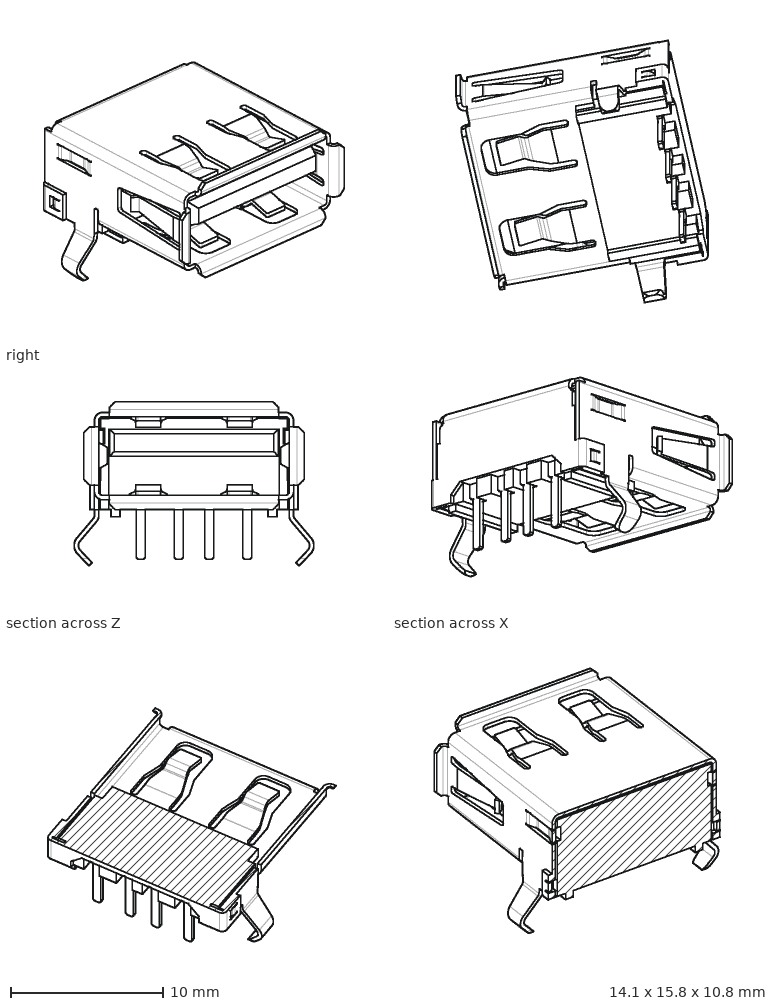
import cadquery as cq
import math


SHEET = 0.3
SHELL_LENGTH = 13.5
SHELL_WIDTH = 13.1
SHELL_TOP = 6.4
SHELL_FLOOR = 0.65
SHELL_MID_Z = (SHELL_TOP + SHELL_FLOOR) / 2
SHELL_BEND = 0.55
FLOOR_START = 5.2
SKIRT_END = 4.82
RELIEF_CORNER = 0.12
RELIEF_TOP = 1.94
SIDE_MID = SHELL_WIDTH / 2 - SHEET / 2
TOP_MID = SHELL_TOP - SHEET / 2
FLOOR_MID = SHELL_FLOOR + SHEET / 2

BACK_BEND = 0.6
BACK_BEND_HALF = 5.62
BACK_STEP_HALF = 5.92
BACK_HALF = 6.15
BACK_CHAMFER_TOP = 5.68
BACK_CHAMFER_BOTTOM = 5.36
BACK_STEP_Z = 4.33
CORNER_NOTCH_Z = 5.95
FLAP_LENGTH = 2.1
FLAP_HEIGHT = 1.93
FLAP_MID = SIDE_MID + SHEET
FLAP_BEND = 0.22
PIN_OPENING_FOOT = 4.92
PIN_OPENING_HEAD = 4.1
PIN_OPENING_SHOULDER = 0.55
PIN_OPENING_TOP = 1.3

MOUTH_X = 14.1
LIP_BEND = 0.35
LIP_ROOT = 13.4
LIP_CHAMFER = 0.38
TOP_LIP_HALF = 5.57
TOP_LIP_Z = 7.1
SIDE_LIP_Y = 7.25
SIDE_LIP_Z = (1.61, 5.44)

ROOF_SPRING_Y = 3.0
ROOF_SLOT_START = 7.14
ROOF_SLOT_END = 13.13
ROOF_SLOT_WIDTH = 0.48
ROOF_SLOT_CORNER = 0.65
ROOF_SLOT_TAPER_SHIFT = 0.16
ROOF_SPRING_BEND = 8.33
ROOF_SPRING_STEP = (10.05, 10.5)
ROOF_SPRING_END = 12.12
ROOF_SPRING_TAPER = (8.85, 10.15)
ROOF_SPRING_HALF = (1.25, 0.83)
ROOF_SPRING_DEPTH = (0.25, 0.72)
ROOF_SPRING_RISE = 0.55
ROOF_SPRING_BENDS = (0.25, 0.3, 0.3)
ROOF_SPRING_CORNER = 0.12
SLOT_END_RADIUS = 0.2

SIDE_SPRING_Z = 3.55
SIDE_SLOT = (7.08, 13.15)
SIDE_SLOT_HALF = (0.9, 1.43)
SIDE_SLOT_CORNER = 0.25
SIDE_SPRING_HALF = (0.5, 0.94)
SIDE_SPRING_BEND = 12.45
SIDE_SPRING_LOW = 8.5
SIDE_SPRING_END = 8.1
SIDE_SPRING_DEPTH = 0.55
SIDE_SPRING_CURL = math.radians(50)
SIDE_SPRING_CURL_BEND = 0.22
SIDE_SPRING_ROOT_BEND = 0.7

DENT_X = (1.23, 4.46)
DENT_Z = (4.25, 5.25)
DENT_SLIT = 0.05
DENT_FLAT = 0.19
DENT_RAMP = 0.74
DENT_DEPTH = 0.3
DENT_BEND = 0.5

LATCH_X = (0.83, 1.7)
LATCH_Z = (0.57, 1.3)
LATCH_TIP = 0.95
LATCH_BEND_X = 1.3
LATCH_DEPTH = 0.25
LATCH_BEND = 0.17
LATCH_GAP = 0.05

LOCK_X = 3.83
LOCK_HALF = (0.97, 0.6)
LOCK_TIP_RADIUS = 0.55
LOCK_ELBOW = (7.95, -2.38)
LOCK_KNEE_Z = -0.55
LOCK_TIP = (6.8, -3.595)
LOCK_BENDS = (0.45, 0.62)
LOCK_BOTTOM = -3.7

BODY_X = (SHEET, 6.4)
BODY_HALF = 5.6
CHEEK_X = (0.45, 5.13)
CHEEK_HALF = 6.15
CHEEK_TOP = 6.0
CHEEK_CHAMFER = 0.3
CHEEK_GROOVE_Z = (4.33, 5.35)
CHEEK_GROOVE_HALF = 5.88
FOOT_X = 0.4
FOOT_Y = (4.85, 5.46)
FOOT_DEPTH = 0.48
TONGUE_HALF = 5.55
TONGUE_BOTTOM = 3.52
TONGUE_TOP = 5.3
TONGUE_TIP = (12.75, SHELL_LENGTH)
TONGUE_BEVEL = 0.3
PIN_Y = (-3.5, -1.0, 1.0, 3.5)
PIN_X = (0.95, 1.25)
PIN_WIDTH = 0.6
PIN_HEAD = 1.2
PIN_HEAD_Z = 0.25
PIN_HEAD_CHAMFER = 0.13
PIN_BOTTOM = -3.27
PIN_TIP_CHAMFER = 0.12

MARGIN = 1.0


def block(x, y, z):
    """Box spanning the given (low, high) ranges."""
    size = (x[1] - x[0], y[1] - y[0], z[1] - z[0])
    return cq.Workplane("XY").box(*size, centered=False).translate((x[0], y[0], z[0]))


def both_sides(solid):
    """The solid together with its mirror image across Y = 0."""
    return solid.union(solid.mirror("XZ"))


def roof_and_floor(solid):
    """The solid together with its mirror image across the middle height of the shell."""
    return solid.union(solid.mirror("XY", (0, 0, SHELL_MID_Z)))


def bent_strip(plane, path, bends, width):
    """Sheet following a polyline, corners rounded to the mid-sheet radii, centred across its width."""
    half = SHEET / 2
    directions = []
    for a, b in zip(path, path[1:]):
        angle = math.atan2(b[1] - a[1], b[0] - a[0])
        directions.append(angle)

    def beside(point, angle, side):
        return (point[0] - side * half * math.sin(angle), point[1] + side * half * math.cos(angle))

    def edge(side):
        """One face of the sheet as (start, mid, end) arcs between its two end points."""
        arcs = []
        for corner, radius, before, after in zip(path[1:-1], bends, directions, directions[1:]):
            turn = math.remainder(after - before, 2 * math.pi)
            setback = radius * math.tan(abs(turn) / 2)
            start = (corner[0] - setback * math.cos(before), corner[1] - setback * math.sin(before))
            end = (corner[0] + setback * math.cos(after), corner[1] + setback * math.sin(after))
            hand = math.copysign(1, turn)
            swing = hand * radius
            centre = (start[0] - swing * math.sin(before), start[1] + swing * math.cos(before))
            middle = before + turn / 2
            reach = radius - hand * side * half
            mid = (centre[0] + hand * reach * math.sin(middle), centre[1] - hand * reach * math.cos(middle))
            arcs.append((beside(start, before, side), mid, beside(end, after, side)))
        return beside(path[0], directions[0], side), arcs, beside(path[-1], directions[-1], side)

    left_start, left_arcs, left_end = edge(1)
    right_start, right_arcs, right_end = edge(-1)
    outline = cq.Workplane(plane).moveTo(*left_start)
    for start, mid, end in left_arcs:
        outline = outline.lineTo(*start).threePointArc(mid, end)
    outline = outline.lineTo(*left_end).lineTo(*right_end)
    for start, mid, end in reversed(right_arcs):
        outline = outline.lineTo(*end).threePointArc(mid, start)
    return outline.lineTo(*right_start).close().extrude(width / 2, both=True)


def make_shell_walls():
    height = SHELL_TOP - SHELL_FLOOR

    def bar(inset):
        section = cq.Workplane("YZ").center(0, SHELL_MID_Z).rect(SHELL_WIDTH - 2 * inset, height - 2 * inset)
        return section.extrude(SHELL_LENGTH).edges("|X").fillet(SHELL_BEND - inset)

    walls = bar(0).cut(bar(SHEET))
    everywhere = (-SHELL_WIDTH, SHELL_WIDTH)
    walls = walls.cut(block((0, FLOOR_START), everywhere, (0, RELIEF_TOP)))
    inner = SHELL_WIDTH / 2 - SHEET
    skirt = block((0, FLOOR_START), (inner, SHELL_WIDTH / 2), (0, RELIEF_TOP))
    slit = block((SKIRT_END, FLOOR_START), (inner, SHELL_WIDTH / 2), (0, RELIEF_TOP))
    slit = slit.edges(">Z and |Y").fillet(RELIEF_CORNER)
    walls = walls.union(both_sides(skirt.cut(slit)))
    walls = walls.cut(block((0, BACK_BEND), everywhere, (CORNER_NOTCH_Z, SHELL_TOP)))
    return walls.cut(block((0, FLAP_BEND + SHEET / 2), everywhere, (0, FLAP_HEIGHT)))


def make_back_wall():
    mid = SHEET / 2
    path = [(mid, BACK_STEP_Z), (mid, TOP_MID), (BACK_BEND + SHEET, TOP_MID)]
    wall = bent_strip("XZ", path, [BACK_BEND - mid], 2 * BACK_BEND_HALF)
    right_half = [
        (BACK_BEND_HALF, BACK_CHAMFER_TOP),
        (BACK_STEP_HALF, BACK_CHAMFER_BOTTOM),
        (BACK_STEP_HALF, BACK_STEP_Z),
        (BACK_HALF, BACK_STEP_Z),
        (BACK_HALF, 0),
        (PIN_OPENING_FOOT, 0),
        (PIN_OPENING_FOOT, PIN_OPENING_SHOULDER),
        (PIN_OPENING_HEAD, PIN_OPENING_TOP),
    ]
    left_half = [(-y, z) for y, z in reversed(right_half)]
    return wall.union(cq.Workplane("YZ").polyline(right_half + left_half).close().extrude(SHEET))


def make_flap():
    mid = SHEET / 2
    path = [(mid, PIN_OPENING_FOOT), (mid, FLAP_MID), (FLAP_LENGTH, FLAP_MID)]
    flap = bent_strip("XY", path, [FLAP_BEND], FLAP_HEIGHT)
    return flap.translate((0, 0, FLAP_HEIGHT / 2))


def make_flat_lip(mid_z, tip_z, tip_face):
    tip_mid = MOUTH_X - SHEET / 2
    path = [(LIP_ROOT, mid_z), (tip_mid, mid_z), (tip_mid, tip_z)]
    lip = bent_strip("XZ", path, [LIP_BEND], 2 * TOP_LIP_HALF)
    return lip.faces(tip_face).edges("|X").chamfer(LIP_CHAMFER)


def make_side_lip():
    tip_mid = MOUTH_X - SHEET / 2
    low, high = SIDE_LIP_Z
    path = [(LIP_ROOT, SIDE_MID), (tip_mid, SIDE_MID), (tip_mid, SIDE_LIP_Y)]
    lip = bent_strip("XY", path, [LIP_BEND], high - low)
    lip = lip.faces(">Y").edges("|X").chamfer(LIP_CHAMFER)
    return lip.translate((0, 0, (low + high) / 2))


def tapered_plan(plane, stations, half_widths):
    """Outline symmetric about the first axis, given as half widths at stations."""
    upper = list(zip(stations, half_widths))
    lower = [(x, -half) for x, half in reversed(upper)]
    return cq.Workplane(plane).polyline(upper + lower).close()


def make_roof_spring():
    """Opening in the roof centred on Y = 0 and the spring that fills part of it."""
    wide, narrow = ROOF_SPRING_HALF
    taper_start, taper_end = ROOF_SPRING_TAPER
    halves = [wide, wide, narrow, narrow]
    slot_taper = (taper_start + ROOF_SLOT_TAPER_SHIFT, taper_end + ROOF_SLOT_TAPER_SHIFT)
    slot_stations = [ROOF_SLOT_START, *slot_taper, ROOF_SLOT_END]
    slot = tapered_plan("XY", slot_stations, [half + ROOF_SLOT_WIDTH for half in halves])
    slot = slot.extrude(SHELL_TOP).edges(">X and |Z").fillet(ROOF_SLOT_CORNER)
    stations = [ROOF_SLOT_START - MARGIN, taper_start, taper_end, ROOF_SPRING_END]
    plan = tapered_plan("XY", stations, halves).extrude(SHELL_TOP)
    plan = plan.edges(">X and |Z").fillet(ROOF_SPRING_CORNER)
    slot = slot.cut(plan).edges("<X and |Z").fillet(SLOT_END_RADIUS)

    step_start, step_end = ROOF_SPRING_STEP
    ramp_depth, full_depth = ROOF_SPRING_DEPTH
    low_z = TOP_MID - full_depth
    path = [
        (ROOF_SLOT_START, TOP_MID),
        (ROOF_SPRING_BEND, TOP_MID),
        (step_start, TOP_MID - ramp_depth),
        (step_end, low_z),
        (ROOF_SPRING_END + SHEET, low_z + ROOF_SPRING_RISE),
    ]
    spring = bent_strip("XZ", path, ROOF_SPRING_BENDS, 2 * wide).intersect(plan)

    above_tongue = (TONGUE_TOP, SHELL_TOP + MARGIN)
    reach = (-wide - ROOF_SLOT_WIDTH, wide + ROOF_SLOT_WIDTH)
    roof_only = block((0, SHELL_LENGTH), reach, above_tongue)
    sprung_area = plan.intersect(block((ROOF_SPRING_BEND, SHELL_LENGTH), reach, above_tongue))
    opening = slot.intersect(roof_only).union(sprung_area)
    return opening, spring


def make_side_spring():
    """Opening in the +Y wall and the spring that fills part of it."""
    slot = tapered_plan("XZ", SIDE_SLOT, SIDE_SLOT_HALF).extrude(-SHELL_WIDTH)
    slot = slot.edges("<X and |Y").fillet(SIDE_SLOT_CORNER)
    stations = (SIDE_SPRING_END - SHEET / 2, SIDE_SLOT[1] + SHEET)
    plan = tapered_plan("XZ", stations, SIDE_SPRING_HALF).extrude(-SHELL_WIDTH)
    slot = slot.cut(plan).edges(">X and |Y").fillet(SLOT_END_RADIUS)

    low_y = SIDE_MID - SIDE_SPRING_DEPTH
    curl_rise = (SIDE_SPRING_LOW - SIDE_SPRING_END) * math.tan(SIDE_SPRING_CURL)
    path = [
        (SIDE_SLOT[1], SIDE_MID),
        (SIDE_SPRING_BEND, SIDE_MID),
        (SIDE_SPRING_LOW, low_y),
        (SIDE_SPRING_END, low_y + curl_rise),
    ]
    width = 2 * SIDE_SPRING_HALF[1]
    spring = bent_strip("XY", path, [SIDE_SPRING_ROOT_BEND, SIDE_SPRING_CURL_BEND], width).intersect(plan)
    z_reach = (-SIDE_SLOT_HALF[1], SIDE_SLOT_HALF[1])
    sprung_area = plan.intersect(block((0, SIDE_SPRING_BEND), (0, SHELL_WIDTH), z_reach))
    wall_only = block((0, SHELL_LENGTH), (BODY_HALF, SHELL_WIDTH), z_reach)
    opening = slot.union(sprung_area).intersect(wall_only)
    offset = (0, 0, SIDE_SPRING_Z)
    return opening.translate(offset), spring.translate(offset)


def make_dent():
    """Window in the +Y wall and the strip pressed inwards across it."""
    start, end = DENT_X
    low, high = DENT_Z
    low_y = SIDE_MID - DENT_DEPTH
    path = [
        (start - SHEET, SIDE_MID),
        (start + DENT_FLAT, SIDE_MID),
        (start + DENT_FLAT + DENT_RAMP, low_y),
        (end - DENT_FLAT - DENT_RAMP, low_y),
        (end - DENT_FLAT, SIDE_MID),
        (end + SHEET, SIDE_MID),
    ]
    strip = bent_strip("XY", path, [DENT_BEND] * 4, high - low).translate((0, 0, (low + high) / 2))
    window = block(DENT_X, (BODY_HALF, SHELL_WIDTH), (low - DENT_SLIT, high + DENT_SLIT))
    return window, strip


def make_latch():
    """Window through flap and +Y wall, and the flap tongue bent into it."""
    low, high = LATCH_Z
    path = [
        (LATCH_X[1] + SHEET, FLAP_MID),
        (LATCH_BEND_X, FLAP_MID),
        (LATCH_TIP, FLAP_MID - LATCH_DEPTH),
    ]
    tongue = bent_strip("XY", path, [LATCH_BEND], high - low).translate((0, 0, (low + high) / 2))
    window = block(LATCH_X, (BODY_HALF, SHELL_WIDTH), (low - LATCH_GAP, high + LATCH_GAP))
    return window, tongue


def make_board_lock():
    path = [(SIDE_MID, RELIEF_TOP / 2), (SIDE_MID, LOCK_KNEE_Z), LOCK_ELBOW, LOCK_TIP]
    leaf = bent_strip("YZ", path, LOCK_BENDS, 2 * LOCK_HALF[0]).translate((LOCK_X, 0, 0))
    root, tip = LOCK_HALF
    left = [(-root, RELIEF_TOP), (-root, 0), (-tip, LOCK_BOTTOM)]
    right = [(-x, z) for x, z in reversed(left)]
    plan = cq.Workplane("XZ").polyline(left + right).close().extrude(-SHELL_WIDTH)
    plan = plan.edges("<Z and |Y").fillet(LOCK_TIP_RADIUS).translate((LOCK_X, 0, 0))
    return leaf.intersect(plan)


def make_tongue():
    tip_start, tip_end = TONGUE_TIP
    height = TONGUE_TOP - TONGUE_BOTTOM
    bar = block((BODY_X[0], tip_start), (-TONGUE_HALF, TONGUE_HALF), (TONGUE_BOTTOM, TONGUE_TOP))
    tip = cq.Workplane("YZ").rect(2 * TONGUE_HALF, height).workplane(offset=tip_end - tip_start)
    tip = tip.rect(2 * (TONGUE_HALF - TONGUE_BEVEL), height - 2 * TONGUE_BEVEL).loft()
    return bar.union(tip.translate((tip_start, 0, TONGUE_BOTTOM + height / 2)))


def make_insulator():
    body = block(BODY_X, (-BODY_HALF, BODY_HALF), (0, TONGUE_TOP))
    cheeks = block(CHEEK_X, (-CHEEK_HALF, CHEEK_HALF), (0, CHEEK_TOP))
    cheeks = cheeks.edges("<X and >Z").chamfer(CHEEK_CHAMFER)
    groove = block(CHEEK_X, (CHEEK_GROOVE_HALF, CHEEK_HALF), CHEEK_GROOVE_Z)
    cheeks = cheeks.cut(both_sides(groove))
    foot = block((FOOT_X, BODY_X[1]), FOOT_Y, (-FOOT_DEPTH, TONGUE_TOP))
    insulator = body.union(cheeks).union(make_tongue()).union(both_sides(foot))
    for y in PIN_Y:
        channel_y = (y - PIN_HEAD / 2, y + PIN_HEAD / 2)
        insulator = insulator.cut(block((0, PIN_X[1]), channel_y, (0, PIN_OPENING_TOP)))
    return insulator


def make_pin(y):
    blade = block(PIN_X, (-PIN_WIDTH / 2, PIN_WIDTH / 2), (PIN_BOTTOM, PIN_OPENING_TOP))
    blade = blade.edges("<Z and |X").chamfer(PIN_TIP_CHAMFER)
    head = block(PIN_X, (-PIN_HEAD / 2, PIN_HEAD / 2), (PIN_HEAD_Z, PIN_OPENING_TOP))
    head = head.edges("<Z and |X").chamfer(PIN_HEAD_CHAMFER)
    return blade.union(head).translate((0, y, 0))


shell = make_shell_walls().union(make_back_wall()).union(both_sides(make_flap()))
for make_feature in (make_side_spring, make_dent, make_latch):
    opening, strip = make_feature()
    shell = shell.cut(both_sides(opening)).union(both_sides(strip))
roof_opening, roof_spring = (part.translate((0, ROOF_SPRING_Y, 0)) for part in make_roof_spring())
shell = shell.cut(roof_and_floor(both_sides(roof_opening)))
shell = shell.union(roof_and_floor(both_sides(roof_spring)))
shell = shell.union(make_flat_lip(TOP_MID, TOP_LIP_Z, ">Z"))
shell = shell.union(make_flat_lip(FLOOR_MID, 0, "<Z"))
shell = shell.union(both_sides(make_side_lip()))
shell = shell.union(both_sides(make_board_lock()))

result = shell.union(make_insulator())
for pin_y in PIN_Y:
    result = result.union(make_pin(pin_y))